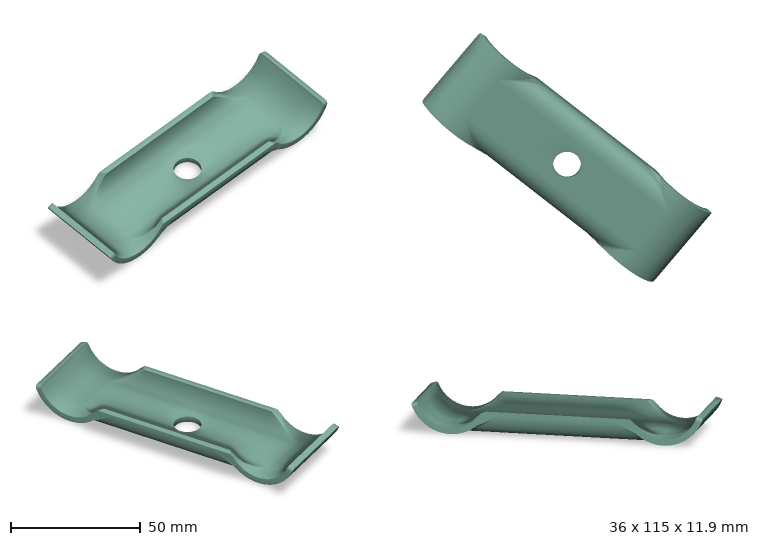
import cadquery as cq
import math

length = 115.0
thickness = 2.4
half_width = 17.9
hole_diameter = 10.7

curl_start = 42.1
curl_outer_radius = 16.2
curl_inner_radius = curl_outer_radius - thickness
tip_corner_radius = 1.5

flange_outer_radius = 8.0
flange_inner_radius = flange_outer_radius - thickness
flange_start = half_width - flange_outer_radius
flange_height = 9.1

outer_blend_angle = 33.0
outer_blend_radius = 21.6
inner_blend_angle = 60.0
inner_blend_radius = 19.8

bulge_half_width = 18.0
bulge_y_min = 28.8
bulge_y_max = 32.2
bulge_z_min = 3.6
bulge_z_max = 5.1

reach = 92.0
depth = 5.8


def solid_under_bend(angle, floor_z, radius):
    """Solid below a floor that bends up through a quarter arc, then rises upright.

    The bend starts at the floor corner and climbs towards the middle of the
    part, in a direction turned by angle from +X towards -Y.
    """
    turn = math.radians(angle)
    climb = cq.Vector(math.cos(turn), -math.sin(turn), 0)
    normal = climb.cross(cq.Vector(0, 0, 1))
    plane = cq.Plane(origin=(flange_start, curl_start, floor_z), xDir=climb, normal=normal)
    diagonal = radius * math.sqrt(0.5)
    return (
        cq.Workplane(plane)
        .moveTo(-reach, -depth)
        .lineTo(-reach, 0)
        .lineTo(0, 0)
        .threePointArc((diagonal, radius - diagonal), (radius, radius))
        .lineTo(radius, reach)
        .lineTo(reach, reach)
        .lineTo(reach, -depth)
        .close()
        .extrude(reach, both=True)
    )


def trim_to_corner(body, floor_z, curl_radius, flange_radius, blend_angle, blend_radius):
    """Keep the part of body below the curl, the flange and the blend joining them."""
    under_curl = solid_under_bend(90, floor_z, curl_radius)
    under_flange = solid_under_bend(0, floor_z, flange_radius)
    under_blend = solid_under_bend(blend_angle, floor_z, blend_radius)
    return body.intersect(under_curl).intersect(under_flange).intersect(under_blend)


def box_between(low, high):
    size = [top - bottom for bottom, top in zip(low, high)]
    return cq.Workplane("XY").box(*size, centered=False).translate(low)


def quarter_tray():
    """Floor, flange and inward half of the curl for positive X and Y."""
    body = box_between((0, 0, 0), (half_width, curl_start, flange_height))
    bulge = box_between(
        (half_width, bulge_y_min, bulge_z_min), (bulge_half_width, bulge_y_max, bulge_z_max)
    )
    body = body.union(bulge)
    upper = trim_to_corner(
        body, thickness, curl_inner_radius, flange_inner_radius,
        inner_blend_angle, inner_blend_radius
    )
    lower = trim_to_corner(
        body, 0, curl_outer_radius, flange_outer_radius,
        outer_blend_angle, outer_blend_radius
    )
    return upper.cut(lower)


def curled_tip():
    """Outward half of the curl at the +Y end, with rounded tip corners."""
    sweep = math.asin((length / 2 - curl_start) / curl_outer_radius)

    def on_curl(radius, angle):
        return (curl_start + radius * math.sin(angle), curl_outer_radius - radius * math.cos(angle))

    tip = (
        cq.Workplane("YZ")
        .moveTo(*on_curl(curl_outer_radius, 0))
        .threePointArc(on_curl(curl_outer_radius, sweep / 2), on_curl(curl_outer_radius, sweep))
        .lineTo(*on_curl(curl_inner_radius, sweep))
        .threePointArc(on_curl(curl_inner_radius, sweep / 2), on_curl(curl_inner_radius, 0))
        .close()
        .extrude(half_width, both=True)
    )
    return tip.faces(">Y").edges("not |X").fillet(tip_corner_radius)


tray_quarter = quarter_tray()
tray_half = tray_quarter.union(tray_quarter.mirror("YZ"))
end_half = tray_half.union(curled_tip())
hole = cq.Workplane("XY").circle(hole_diameter / 2).extrude(thickness)
result = end_half.union(end_half.mirror("XZ")).cut(hole)